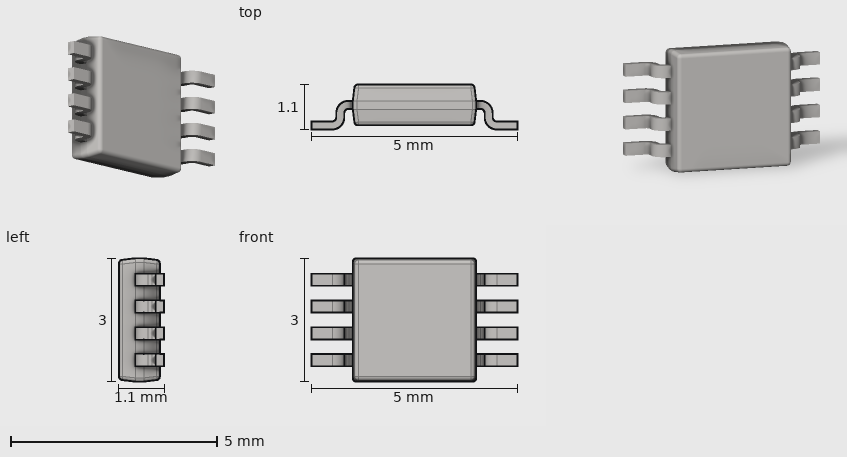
import cadquery as cq
import math


body_side = 3.0
body_thickness = 1.0
standoff = 0.1
draft_angle = 7.0
edge_radius = 0.1

lead_count_per_side = 4
lead_pitch = 0.65
lead_width = 0.3
lead_thickness = 0.2
lead_span = 5.0
foot_length = 0.5
inner_bend_radius = 0.1
lead_embed = 0.2

body_middle_y = standoff + body_thickness / 2
band_thickness = lead_thickness
drafted_height = (body_thickness - band_thickness) / 2
outer_bend_radius = inner_bend_radius + lead_thickness
lead_top_y = body_middle_y + lead_thickness / 2


def make_body():
    """Square block with a straight middle band, drafted halves and rounded edges."""
    half_band = (
        cq.Workplane("XY")
        .rect(body_side, body_side)
        .extrude(band_thickness / 2)
        .faces(">Z")
        .workplane()
        .rect(body_side, body_side)
        .extrude(drafted_height, taper=draft_angle)
    )
    block = half_band.union(half_band.mirror("XY"), clean=False)
    block = block.edges("(not #Z) or <Z or >Z").fillet(edge_radius)
    return block.rotate((0, 0, 0), (1, 0, 0), -90).translate((0, body_middle_y, 0))


def make_lead():
    """One gull-wing lead on the -X side, centred on Z = 0."""
    tip_x = -lead_span / 2
    heel_x = tip_x + foot_length
    riser_inner_x = heel_x + outer_bend_radius
    riser_outer_x = riser_inner_x - lead_thickness
    shoulder_x = riser_inner_x + inner_bend_radius
    root_x = -body_side / 2 + lead_embed
    upper_bend_y = lead_top_y - outer_bend_radius
    lower_bend_y = outer_bend_radius
    mid_arc = math.sqrt(0.5)

    def bend_mid(center_x, center_y, radius, side):
        """Middle of a quarter bend: toward +X -Y for side 1, toward -X +Y for side -1."""
        offset = side * radius * mid_arc
        return (center_x + offset, center_y - offset)

    profile = (
        cq.Workplane("XY")
        .moveTo(tip_x, 0)
        .lineTo(heel_x, 0)
        .threePointArc(
            bend_mid(heel_x, lower_bend_y, outer_bend_radius, 1),
            (riser_inner_x, lower_bend_y),
        )
        .lineTo(riser_inner_x, upper_bend_y)
        .threePointArc(
            bend_mid(shoulder_x, upper_bend_y, inner_bend_radius, -1),
            (shoulder_x, lead_top_y - lead_thickness),
        )
        .lineTo(root_x, lead_top_y - lead_thickness)
        .lineTo(root_x, lead_top_y)
        .lineTo(shoulder_x, lead_top_y)
        .threePointArc(
            bend_mid(shoulder_x, upper_bend_y, outer_bend_radius, -1),
            (riser_outer_x, upper_bend_y),
        )
        .lineTo(riser_outer_x, lower_bend_y)
        .threePointArc(
            bend_mid(heel_x, lower_bend_y, inner_bend_radius, 1),
            (heel_x, lead_thickness),
        )
        .lineTo(tip_x, lead_thickness)
        .close()
    )
    return profile.extrude(lead_width / 2, both=True)


def add_leads(body):
    """Join an evenly spaced row of leads to each X side of the body."""
    left_lead = make_lead()
    right_lead = left_lead.mirror("YZ")
    first_z = -lead_pitch * (lead_count_per_side - 1) / 2
    for index in range(lead_count_per_side):
        offset = (0, 0, first_z + index * lead_pitch)
        body = body.union(left_lead.translate(offset), clean=False)
        body = body.union(right_lead.translate(offset), clean=False)
    return body


result = add_leads(make_body())